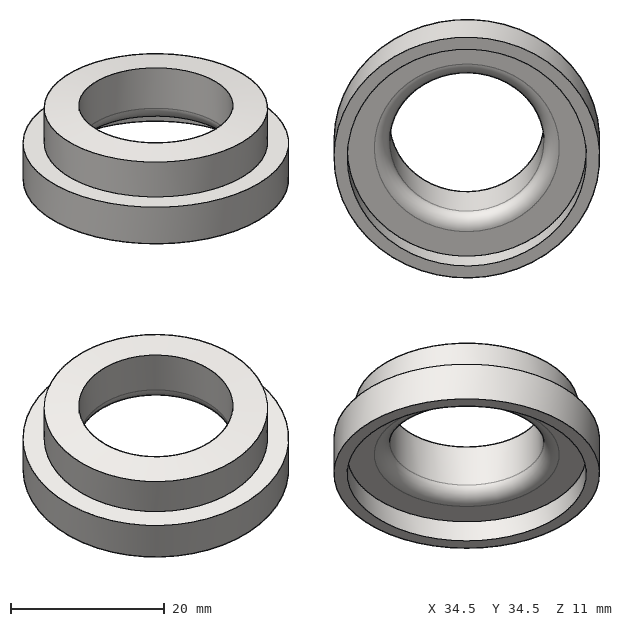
import cadquery as cq
import math

flange_diameter = 34.5
flange_height = 5.45
collar_diameter = 29.0
collar_edge_height = 10.63
overall_height = 11.0
bore_diameter = 20.0
recess_diameter = 31.05
recess_depth = 3.0
bore_rounding = 2.0

flange_radius = flange_diameter / 2
collar_radius = collar_diameter / 2
bore_radius = bore_diameter / 2
recess_radius = recess_diameter / 2
rounding_center_radius = bore_radius + bore_rounding
rounding_center_height = recess_depth + bore_rounding
rounding_offset = bore_rounding * math.sqrt(0.5)

half_section = (
    cq.Workplane("XZ")
    .moveTo(recess_radius, 0)
    .lineTo(flange_radius, 0)
    .lineTo(flange_radius, flange_height)
    .lineTo(collar_radius, flange_height)
    .lineTo(collar_radius, collar_edge_height)
    .lineTo(bore_radius, overall_height)
    .lineTo(bore_radius, rounding_center_height)
    .threePointArc(
        (rounding_center_radius - rounding_offset, rounding_center_height - rounding_offset),
        (rounding_center_radius, recess_depth),
    )
    .lineTo(recess_radius, recess_depth)
    .close()
)

result = half_section.revolve(360, (0, 0, 0), (0, 1, 0))